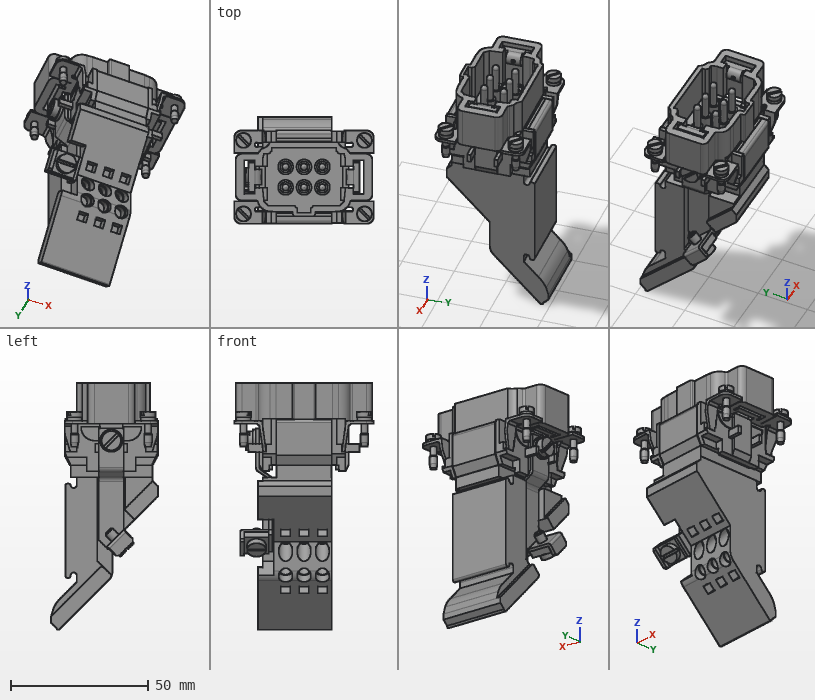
import cadquery as cq
import math


pole_columns = (-6.7, 0.0, 6.7)
pin_row_y = 3.74

shell_height = 15.0
shell_half_width = 12.65
ear_half_length = 24.95
ear_half_width = 8.55
ear_radius = 2.3
cavity_half_length = 15.1
cavity_floor_z = 0.2

body_half_width = 17.05
base_half_length = 15.1
base_half_width = shell_half_width
hood_half_length = 11.85
hood_top_z = 1.9
base_bottom_z = -15.05
side_plate_x = 16.4

flange_half_length = 25.5
flange_inner_y = 8.72
flange_thickness = 1.1
flange_screw_x = 22.05
flange_screw_y = 13.4

block_right = 10.2
block_left = -15.05
guard_left = -16.8
channel_floor_x = -11.0
block_top_z = -19.5
block_bottom_z = shell_height - 90.1
block_face_y = -0.5
toe_y = 39.04 - body_half_width

cut_length = 200.0
wire_direction = (0, -1, -1)


def box(x_range, y_range, z_range):
    """Axis-aligned box from its three ranges."""
    size = [high - low for low, high in (x_range, y_range, z_range)]
    corner = (x_range[0], y_range[0], z_range[0])
    return cq.Workplane("XY").box(*size, centered=False).translate(corner)


def centred_box(half_x, half_y, z_range):
    return box((-half_x, half_x), (-half_y, half_y), z_range)


def side_prism(points, x_range):
    """Polygon of (Y, Z) points extruded between two X positions."""
    prism = cq.Workplane("YZ").polyline(points).close().extrude(x_range[1] - x_range[0])
    return prism.translate((x_range[0], 0, 0))


def cylinder(x, y, z_range, diameter):
    start = cq.Workplane("XY", origin=(x, y, z_range[0]))
    return start.circle(diameter / 2).extrude(z_range[1] - z_range[0])


def cone(x, y, z_range, low_diameter, high_diameter):
    low = cq.Workplane("XY", origin=(x, y, z_range[0])).circle(low_diameter / 2)
    return low.workplane(offset=z_range[1] - z_range[0]).circle(high_diameter / 2).loft()


def both_x(part):
    return part.union(part.mirror("YZ"))


def both_y(part):
    return part.union(part.mirror("XZ"))


rear_edge_x = 12.5
rear_step = (15.3, 10.5)
front_edge_x = 10.3
key_base_half_length = 4.2
key_tip_half_length = 3.9
key_radius = 0.5
key_y = -14.2
key_slot_half_length = 2.4
key_slot_y = -12.95
rear_pocket = (11.8, 10.77)
pocket_shoulder_y = 8.5
front_pocket = (12.9, -10.5)
spring_slot_half_width = 3.9
ear_slot_x = (18.0, 21.7)
ear_slot_half_width = 6.1


def shell_outline():
    """Right half traced from the rear to the front, then mirrored."""
    rear_bow = (13.7, 11.1)
    rear_neck = (16.5, 9.1)
    front_neck = (16.7, -9.35)
    front_bow = (15.2, -11.5)
    front_bend = (12.4, -12.45)
    neck_x = 17.5
    half = (
        cq.Workplane("XY")
        .moveTo(0, shell_half_width)
        .lineTo(rear_edge_x, shell_half_width)
        .threePointArc(rear_bow, rear_step)
        .lineTo(*rear_neck)
        .threePointArc((16.9, 8.7), (neck_x, ear_half_width))
        .lineTo(neck_x, -ear_half_width)
        .threePointArc((17.0, -8.75), front_neck)
        .threePointArc(front_bow, front_bend)
        .lineTo(front_edge_x, -shell_half_width)
        .lineTo(0, -shell_half_width)
        .close()
    )
    return both_x(half.extrude(shell_height))


def cavity():
    """Hollow of the shell with its front key slot."""
    corner_step = 1.0
    shoulder_x = cavity_half_length - 0.5
    wall_rear_y = 6.5
    wall_front_y = -4.0
    front_shoulder_y = -8.8
    half = [
        (rear_pocket[0], rear_pocket[1]),
        (rear_pocket[0], pocket_shoulder_y + corner_step),
        (rear_pocket[0] + corner_step, pocket_shoulder_y),
        (shoulder_x, pocket_shoulder_y),
        (cavity_half_length, wall_rear_y),
        (cavity_half_length, wall_front_y),
        (shoulder_x, front_shoulder_y),
        front_pocket,
        (key_slot_half_length + corner_step, front_pocket[1]),
        (key_slot_half_length, front_pocket[1] - corner_step),
        (key_slot_half_length, key_slot_y),
    ]
    outline = half + [(-x, y) for x, y in reversed(half)]
    hollow = cq.Workplane("XY", origin=(0, 0, cavity_floor_z)).polyline(outline).close()
    return hollow.extrude(shell_height - cavity_floor_z)


def plug_shell():
    shell = shell_outline()
    ears = centred_box(ear_half_length, ear_half_width, (0, shell_height))
    ears = ears.edges("|Z").fillet(ear_radius)
    key = cq.Workplane("XY").polyline([
        (-key_base_half_length, -shell_half_width),
        (key_base_half_length, -shell_half_width),
        (key_tip_half_length, key_y),
        (-key_tip_half_length, key_y),
    ]).close().extrude(shell_height)
    key = key.faces("<Y").edges("|Z").fillet(key_radius)
    return shell.union(ears).union(key)


def spring_openings():
    """Through slot in each ear and the window joining it to the cavity."""
    slot = box(ear_slot_x, (-ear_slot_half_width, ear_slot_half_width), (0, shell_height))
    window_x = (cavity_half_length - 1, ear_slot_x[0])
    window = box(window_x, (-spring_slot_half_width, spring_slot_half_width), (0, shell_height))
    return both_x(slot.union(window))


panel_slope_z = -11.4
side_slope_z = -10.9
hood_slope_end_y = 15.1
end_bottom_z = -12.2
leg_inner_x = 12.75
ridge_inner_x = 11.5
ridge_half_width = 7.5
ridge_bottom_z = -16.7
leg_half_width = 8.95
leg_bottom_z = -17.2
side_plate_half_width = 4.2
hood_centre_half_length = 10.1
hood_lip_radius = 1.15
hood_foot_x = 13.8
hood_side_inset = 0.3
rim_top_z = -10.1
hood_foot_top_z = -7.4


def hood_profile(bottom_z, inset, slope_z):
    """Section of the hood; the inset moves its front and rear faces inwards."""
    face_y = body_half_width - inset
    slope_y = hood_slope_end_y - inset
    drop = (slope_z - bottom_z) / (slope_z - base_bottom_z)
    bottom_y = face_y - drop * (face_y - slope_y)
    half = [(face_y, hood_top_z), (face_y, slope_z), (bottom_y, bottom_z)]
    return half + [(-y, z) for y, z in reversed(half)]


def hood_slice(half_length, bottom_z, inset, slope_z, top_z=hood_top_z):
    prism = side_prism(hood_profile(bottom_z, inset, slope_z), (-half_length, half_length))
    return prism.intersect(centred_box(half_length, body_half_width, (bottom_z, top_z)))


def base():
    core = centred_box(base_half_length, base_half_width, (end_bottom_z, hood_top_z))
    panel = hood_slice(hood_centre_half_length, base_bottom_z, 0, panel_slope_z)
    sides = hood_slice(hood_half_length, base_bottom_z, hood_side_inset, side_slope_z)
    foot = hood_slice(hood_foot_x, end_bottom_z, hood_side_inset, side_slope_z, hood_foot_top_z)
    rim = hood_slice(base_half_length, end_bottom_z, hood_side_inset, side_slope_z, rim_top_z)
    return core.union(panel).union(sides).union(foot).union(rim)


def hood_top_cuts():
    """Shallow gutter and rounded outer edge along the middle of each hood top."""
    gutter_y = 13.1
    gutter_z = 1.6
    step_y = -key_y
    step_z = 1.7
    round_y = body_half_width - hood_lip_radius
    round_end_z = step_z - hood_lip_radius
    lean = hood_lip_radius * math.sin(math.pi / 4)
    cut = (
        cq.Workplane("YZ", origin=(-hood_centre_half_length, 0, 0))
        .moveTo(gutter_y, hood_top_z)
        .lineTo(gutter_y, gutter_z)
        .lineTo(step_y, gutter_z)
        .lineTo(step_y, step_z)
        .lineTo(round_y, step_z)
        .threePointArc((round_y + lean, round_end_z + lean), (body_half_width, round_end_z))
        .lineTo(body_half_width, hood_top_z)
        .close()
        .extrude(2 * hood_centre_half_length)
    )
    return both_y(cut).cut(plug_shell())


def side_legs():
    """Stepped leg on each end of the base with a bevelled plate over it."""
    bevel_width = 1.2
    bevel_height = 2.4
    leg = box((leg_inner_x, base_half_length), (-leg_half_width, leg_half_width),
              (leg_bottom_z, end_bottom_z))
    upper_leg = box((hood_half_length, base_half_length), (-leg_half_width, leg_half_width),
                    (base_bottom_z, end_bottom_z))
    ridge = box((ridge_inner_x, leg_inner_x), (-ridge_half_width, ridge_half_width),
                (ridge_bottom_z, end_bottom_z))
    plate = box((base_half_length, side_plate_x),
                (-side_plate_half_width, side_plate_half_width), (leg_bottom_z, 0))
    plate = plate.faces(">X").edges("<Z").chamfer(bevel_height, bevel_width)
    return both_x(leg.union(upper_leg).union(ridge).union(plate))


def end_recesses():
    """Shallow recess with round lower corners in each end of the base."""
    half_width = 11.0
    depth = 0.4
    corner_radius = 4.9
    recess_z = (-6.1, -1.1)
    recess = box((base_half_length - depth, base_half_length), (-half_width, half_width), recess_z)
    return both_x(recess.edges("|X and <Z").fillet(corner_radius))


def latch_prongs():
    """Pair of prongs on each end, one on either side of the ground strip."""
    prong_x = 20.3
    prong_outer_y = 5.85
    prong_z = (-10.3, -7.3)
    prong = box((base_half_length, prong_x), (strip_half_width, prong_outer_y), prong_z)
    return both_y(both_x(prong))


def collar():
    """Block joining the base to the terminal block."""
    rear_y = 14.85
    return box((-hood_centre_half_length, hood_centre_half_length),
               (-hood_slope_end_y, rear_y), (block_top_z, base_bottom_z))


tab_bottom = (-14.0, -10.1)
tab_side_y = 12.3


def flange():
    """Rear-left flange: slotted plate and its tapered tab, bent down."""
    corner_radius = 2.8
    tab_top_x = -15.3
    tab_foot_width = 0.9
    tab_foot_height = 1.5
    bend_start_x = tab_top_x - 1.9
    bend_end = (tab_top_x - 0.9, -0.9)
    taper_start_z = -3.4
    taper_width = 2.1
    slot_centre = (-16.3, 11.8)
    slot_length = 3.2
    slot_width = 1.6
    plate = (
        cq.Workplane("XY")
        .moveTo(tab_top_x, flange_inner_y)
        .lineTo(-flange_half_length, flange_inner_y)
        .lineTo(-flange_half_length, body_half_width - corner_radius)
        .radiusArc((-flange_half_length + corner_radius, body_half_width), corner_radius)
        .lineTo(tab_top_x, body_half_width)
        .close()
        .extrude(flange_thickness)
    )
    slot = cq.Workplane("XY").center(*slot_centre).slot2D(slot_length, slot_width)
    slot = slot.extrude(flange_thickness)
    sheet = [
        (tab_top_x, flange_thickness),
        (bend_start_x, 0),
        bend_end,
        (tab_bottom[0] - tab_foot_width, tab_bottom[1]),
        tab_bottom,
        (tab_bottom[0], tab_bottom[1] + tab_foot_height),
    ]
    tab = cq.Workplane("XZ").polyline(sheet).close().extrude(-cut_length)
    tab_outline = [
        (tab_side_y, flange_thickness),
        (body_half_width, flange_thickness),
        (body_half_width, taper_start_z),
        (body_half_width - taper_width, tab_bottom[1]),
        (tab_side_y, tab_bottom[1]),
    ]
    tab = tab.intersect(side_prism(tab_outline, (-flange_half_length, 0)))
    return plate.cut(slot).union(tab)


def flange_screw(x, y):
    washer_top_z = 2.4
    washer_diameter = 5.3
    head_top_z = 4.35
    shank_end_z = -3.4
    thread_start_z = -3.9
    thread_end_z = -6.7
    shank_diameter = 2.5
    tip_z = -8.3
    thread_diameter = 2.92
    tip_diameter = 2.3
    head_diameter = 5.5
    slot_width = 0.8
    slot_depth = 1.1
    slot_angle = -45
    screw = cylinder(x, y, (flange_thickness, washer_top_z), washer_diameter)
    head = cylinder(x, y, (washer_top_z, head_top_z), head_diameter)
    slot = cq.Workplane("XY").box(head_diameter + 1, slot_width, slot_depth)
    slot = slot.rotate((0, 0, 0), (0, 0, 1), slot_angle).translate((x, y, head_top_z - slot_depth / 2))
    tip = cone(x, y, (tip_z, thread_end_z), tip_diameter, thread_diameter)
    shoulder = cone(x, y, (thread_start_z, shank_end_z), thread_diameter, shank_diameter)
    screw = screw.union(head.cut(slot)).union(tip).union(shoulder)
    screw = screw.union(cylinder(x, y, (shank_end_z, flange_thickness), shank_diameter))
    return screw.union(cylinder(x, y, (thread_end_z, thread_start_z), thread_diameter))


def add_pins(part):
    well_diameter = 5.5
    well_depth = 1.0
    collar_diameter = 4.0
    collar_top_z = 4.6
    pin_radius = 1.25
    dome_radius = 1.24
    pin_top_z = 14.8
    well_z = cavity_floor_z - well_depth
    for x in pole_columns:
        for y in (-pin_row_y, pin_row_y):
            part = part.cut(cylinder(x, y, (well_z, cavity_floor_z), well_diameter))
            pin = cylinder(x, y, (well_z, pin_top_z), 2 * pin_radius)
            pin = pin.faces(">Z").edges().fillet(dome_radius)
            part = part.union(pin)
            part = part.union(cylinder(x, y, (well_z, collar_top_z), collar_diameter))
    return part


def cavity_ledges():
    """Raised blocks in the four corners of the cavity floor."""
    ledge_inner_x = 13.45
    ledge_top_z = 1.0
    ledge = box((ledge_inner_x, cavity_half_length), (spring_slot_half_width, pocket_shoulder_y),
                (cavity_floor_z, ledge_top_z))
    return both_y(both_x(ledge))


def ground_springs():
    """Sheet standing in each ear slot with a rolled contact facing the cavity."""
    sheet_x = (ear_slot_x[0], 20.3)
    sheet_half_width = 5.3
    sheet_top_z = shell_height - 0.8
    roll_radius = 2.6
    roll_half_width = 2.8
    roll_z = sheet_top_z - roll_radius
    dimple_diameter = 1.4
    dimple_depth = 0.8
    sheet = box(sheet_x, (-sheet_half_width, sheet_half_width), (0, sheet_top_z))
    roll = cq.Workplane("XZ", origin=(sheet_x[0], roll_half_width, roll_z))
    roll = roll.circle(roll_radius).extrude(2 * roll_half_width)
    roll = roll.intersect(box((0, sheet_x[0]), (-roll_half_width, roll_half_width), (0, shell_height)))
    dimple = cq.Workplane("YZ", origin=(0, 0, roll_z)).circle(dimple_diameter / 2)
    dimple = dimple.extrude(sheet_x[0] - roll_radius + dimple_depth)
    return both_x(sheet.union(roll.cut(dimple)))


rail_back_y = 16.75
rail_slot_y = (12.6, 14.8)
rail_hook_top_z = -21.7
rail_hook_bottom_z = -56.2
guard_z = -26.35
lower_corner_z = -55.55
lower_corner_radius = 4.9
upper_slope_end_z = guard_z - (body_half_width + block_face_y)
lower_slope_sum = block_face_y + lower_corner_z
toe_corner_y = 18.9
toe_top_z = -70.2
guard_edge_y = -8.5
guard_edge_z = guard_z - (guard_edge_y + body_half_width)
channel_half_width = 5.05
lower_neck_z = -57.6
front_step_z = -20.8


def block_outline():
    """Side section of the block in Y and Z, with the two rail hooks at the rear."""
    slope_to_front = body_half_width - hood_slope_end_y
    hook_width = rail_back_y - rail_slot_y[1]
    slot_radius = (rail_slot_y[1] - rail_slot_y[0]) / 2
    slot_mid_y = sum(rail_slot_y) / 2
    slot_top_z = rail_hook_top_z - 0.5
    slot_bottom_z = rail_hook_bottom_z + 0.9
    hook_mid_y = rail_back_y - hook_width / 2
    toe_tip = (toe_corner_y + 0.45, block_bottom_z)
    toe_rise = (toe_corner_y + 1.1, block_bottom_z + 0.7)
    toe_low_z = toe_top_z - 2.3
    toe_bow_start = (21.1, -67.2)
    toe_bow_middle = (19.9, -65.1)
    toe_bow_end = (18.1, -63.1)
    return (
        cq.Workplane("YZ")
        .moveTo(rail_slot_y[0], block_top_z)
        .lineTo(-hood_slope_end_y, block_top_z)
        .lineTo(-hood_slope_end_y, front_step_z)
        .lineTo(-body_half_width, front_step_z - slope_to_front)
        .lineTo(-body_half_width, guard_z)
        .lineTo(block_face_y, upper_slope_end_z)
        .lineTo(block_face_y, lower_corner_z)
        .lineTo(toe_corner_y, lower_slope_sum - toe_corner_y)
        .threePointArc(toe_tip, toe_rise)
        .lineTo(toe_y, toe_low_z)
        .lineTo(toe_y, toe_top_z)
        .lineTo(*toe_bow_start)
        .threePointArc(toe_bow_middle, toe_bow_end)
        .lineTo(rail_slot_y[0], lower_neck_z)
        .lineTo(rail_slot_y[0], slot_bottom_z)
        .threePointArc((slot_mid_y, slot_bottom_z + slot_radius), (rail_slot_y[1], slot_bottom_z))
        .threePointArc((hook_mid_y, rail_hook_bottom_z), (rail_back_y, slot_bottom_z))
        .lineTo(rail_back_y, slot_top_z)
        .threePointArc((hook_mid_y, rail_hook_top_z), (rail_slot_y[1], slot_top_z))
        .threePointArc((slot_mid_y, slot_top_z - slot_radius), (rail_slot_y[0], slot_top_z))
        .close()
    )


def upper_guard():
    """Slab along the upper slope that stands proud of the block side."""
    slope_to_front = body_half_width - hood_slope_end_y
    inner_y = -channel_half_width
    rise = -hood_slope_end_y - inner_y
    outline = [
        (-hood_slope_end_y, front_step_z),
        (-body_half_width, front_step_z - slope_to_front),
        (-body_half_width, guard_z),
        (guard_edge_y, guard_edge_z),
        (inner_y, guard_edge_z + (inner_y - guard_edge_y)),
        (inner_y, front_step_z + rise),
    ]
    return side_prism(outline, (guard_left, block_left))


def lower_guard():
    """Region of the slab along the lower slope that stands proud of the block side."""
    end_radius = 1.2
    inner_sum = toe_y + toe_top_z
    end_difference = block_face_y - lower_corner_z
    end_y = (inner_sum + end_difference) / 2
    slab = cq.Workplane("YZ").polyline([
        (block_face_y, lower_corner_z),
        (end_y, inner_sum - end_y),
        (toe_y, toe_top_z),
        (toe_y, block_bottom_z),
        (toe_corner_y, block_bottom_z),
    ]).close().extrude(block_left - guard_left)
    end_edge = cq.selectors.NearestToPointSelector((0, end_y, inner_sum - end_y))
    slab = slab.edges("|X").edges(end_edge).fillet(end_radius)
    return slab.translate((guard_left, 0, 0))


def side_channel():
    """Recess in the left side for the ground strip."""
    floor_rear_z = lower_corner_z + channel_half_width - block_face_y
    outline = [
        (channel_half_width, block_top_z),
        (-channel_half_width, block_top_z),
        (-channel_half_width, guard_edge_z - channel_half_width - guard_edge_y),
        (guard_edge_y, guard_edge_z),
        (guard_edge_y, lower_corner_z),
        (block_face_y, lower_corner_z),
        (channel_half_width, floor_rear_z),
    ]
    return side_prism(outline, (guard_left, channel_floor_x))


def wire_plane(x, y, z):
    return cq.Workplane(cq.Plane(origin=(x, y, z), xDir=(1, 0, 0), normal=wire_direction))


def wire_openings():
    """Two rows of stepped wire holes and two rows of rectangular probe pockets."""
    wire_diameter = 5.0
    upper_hole_depth = 6.3
    lower_hole_depth = 3.0
    bore_diameter = 4.35
    bore_depth = 5.0
    probe_size = (3.5, 3.3)
    probe_depth = 5.0
    upper_hole = (block_face_y, -46.5)
    lower_hole = (0.1, -55.5)
    upper_probe_z = -39.8
    lower_probe_z = -60.5
    clearance = 6.0
    upper_probe_y = guard_z - body_half_width - upper_probe_z
    lower_probe_y = lower_slope_sum - lower_probe_z
    cutters = cq.Workplane("XY")
    for x in pole_columns:
        for (y, z), depth in ((upper_hole, upper_hole_depth), (lower_hole, lower_hole_depth)):
            hole = wire_plane(x, y, z).workplane(offset=clearance).circle(wire_diameter / 2)
            cutters = cutters.add(hole.extrude(-clearance - depth))
            bore = wire_plane(x, y, z).circle(bore_diameter / 2)
            cutters = cutters.add(bore.extrude(-depth - bore_depth))
        for y, z in ((upper_probe_y, upper_probe_z), (lower_probe_y, lower_probe_z)):
            cutters = cutters.add(wire_plane(x, y, z).rect(*probe_size).extrude(-probe_depth))
    return cutters.combine()


def terminal_block():
    block = block_outline().extrude(block_right - block_left).translate((block_left, 0, 0))
    corner = cq.selectors.NearestToPointSelector((0, block_face_y, lower_corner_z))
    block = block.edges(corner).fillet(lower_corner_radius)
    side_layer = block.translate((guard_left - block_left, 0, 0))
    block = block.union(upper_guard()).union(side_layer.intersect(lower_guard()))
    return block.cut(side_channel()).cut(wire_openings())


strip_half_width = 4.5
strip_upper_x = (-17.6, -16.3)
strip_lower_x = (-12.9, -11.5)
clamp_x = -17.3
clamp_y = -1.48
clamp_z = -41.65
slotted_head_diameter = 7.0


def ground_strip():
    top_z = -1.6
    bend_z = (-16.8, -19.9)
    bend_rise = 0.4
    bend_radius = 2.0
    rear_end_z = -42.35
    stock_end_z = -50.0
    clamp_overlap = 1.5
    profile = [
        (strip_upper_x[0], top_z),
        (strip_upper_x[1], top_z),
        (strip_upper_x[1], bend_z[0] + bend_rise),
        (strip_lower_x[1], bend_z[1] + bend_rise),
        (strip_lower_x[1], stock_end_z),
        (strip_lower_x[0], stock_end_z),
        (strip_lower_x[0], bend_z[1]),
        (strip_upper_x[0], bend_z[0]),
    ]
    strip = cq.Workplane("XZ", origin=(0, strip_half_width, 0)).polyline(profile).close()
    strip = strip.extrude(2 * strip_half_width)
    region_low = (-cut_length, -cut_length, bend_z[1] - bend_rise)
    region_high = (cut_length, cut_length, bend_z[0] + 2 * bend_rise)
    bend_region = cq.selectors.BoxSelector(region_low, region_high)
    strip = strip.edges("|Y").edges(bend_region).fillet(bend_radius)
    front_sum = clamp_y + clamp_z - clamp_overlap
    tip_y = (front_sum + strip_half_width - rear_end_z) / 2
    outline = [
        (strip_half_width, 0),
        (-strip_half_width, 0),
        (-strip_half_width, front_sum + strip_half_width),
        (tip_y, front_sum - tip_y),
        (strip_half_width, rear_end_z),
    ]
    return strip.intersect(side_prism(outline, (strip_upper_x[0], strip_lower_x[1])))


def slotted_head(frame, start, end, slot_angle):
    """Screw head along the frame's normal with a driver slot in its outer end."""
    slot_width = 1.0
    slot_depth = 1.4
    head = frame.workplane(offset=start).circle(slotted_head_diameter / 2).extrude(end - start)
    slot = frame.workplane(offset=end).transformed(rotate=(0, 0, slot_angle))
    return head.cut(slot.rect(2 * slotted_head_diameter, slot_width).extrude(-slot_depth))


def ground_screw():
    screw_z = -6.1
    washer_thickness = 1.05
    washer_diameter = 8.17
    head_end = 3.6
    seat = (strip_upper_x[0], 0, screw_z)
    frame = cq.Workplane(cq.Plane(origin=seat, xDir=(0, -1, 0), normal=(-1, 0, 0)))
    washer = frame.circle(washer_diameter / 2).extrude(washer_thickness)
    return washer.union(slotted_head(frame, washer_thickness, head_end, 45))


def cable_clamp():
    """Bent sheet carrying a pressure block and its slotted screw."""
    sheet_half_height = 4.4
    pad_half_height = 4.2
    sheet_thickness = 1.1
    flange_length = 5.5
    flange_thickness_x = 1.4
    flange_chamfer = 0.8
    bend_radius = 1.0
    left_x = -23.25
    pad_depth = 3.8
    head_end = 6.1
    shank_diameter = 3.7
    shank_length = 3.7
    shank_chamfer = 0.5
    lug_depth = 2.5
    frame = wire_plane(clamp_x, clamp_y, clamp_z)

    def slab(x_range, height_range, depth):
        middle_x = sum(x_range) / 2 - clamp_x
        middle_height = sum(height_range) / 2
        size = (x_range[1] - x_range[0], height_range[1] - height_range[0])
        return frame.center(middle_x, middle_height).rect(*size).extrude(depth)

    full_height = (-sheet_half_height, sheet_half_height)
    pad_height = (-pad_half_height, pad_half_height)
    inner_x = left_x + flange_thickness_x
    side = slab((left_x, inner_x), full_height, flange_length)
    outward = cq.selectors.DirectionMinMaxSelector(cq.Vector(wire_direction), True)
    inward = cq.selectors.DirectionMinMaxSelector(cq.Vector(wire_direction), False)
    side = side.faces(outward).edges("|X").chamfer(flange_chamfer)
    clamp = slab((left_x, strip_lower_x[1]), full_height, sheet_thickness).union(side)
    clamp = clamp.faces(inward).edges("<X").fillet(bend_radius)
    clamp = clamp.union(slab((inner_x, strip_lower_x[0]), pad_height, pad_depth))
    clamp = clamp.union(slab(strip_lower_x, full_height, lug_depth))
    shank = frame.circle(shank_diameter / 2).extrude(-shank_length)
    clamp = clamp.union(shank.faces(inward).chamfer(shank_chamfer))
    return clamp.union(slotted_head(frame, pad_depth, head_end, 0))


def connector():
    part = plug_shell().union(base()).cut(hood_top_cuts()).cut(end_recesses())
    part = part.cut(cavity()).cut(spring_openings())
    part = part.union(side_legs()).union(latch_prongs()).union(collar()).union(cavity_ledges())
    part = add_pins(part).union(ground_springs())
    flange_pair = both_y(both_x(flange()))
    part = part.union(flange_pair)
    for x in (-flange_screw_x, flange_screw_x):
        for y in (-flange_screw_y, flange_screw_y):
            part = part.union(flange_screw(x, y))
    part = part.union(terminal_block())
    return part.union(ground_strip()).union(ground_screw()).union(cable_clamp())


result = connector()